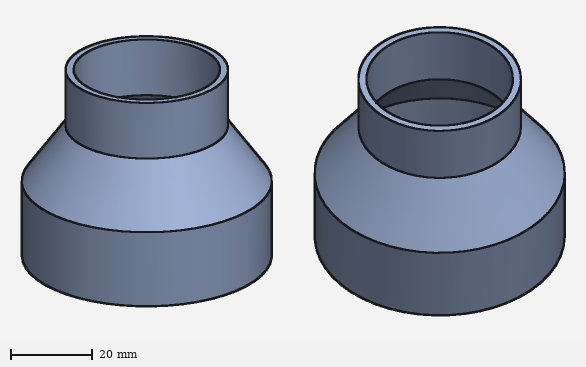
import cadquery as cq

large_outer_diameter = 61.5
large_bore_diameter = 57.5
small_outer_diameter = 40.0
small_bore_diameter = 36.0

large_collar_height = 20.0
cone_height = 15.0
small_collar_height = 15.0

cone_top = large_collar_height + cone_height
total_height = cone_top + small_collar_height


def stepped_cone(large_diameter, small_diameter):
    """Solid of two cylinders joined by a cone."""
    large_radius = large_diameter / 2
    small_radius = small_diameter / 2
    half_profile = [
        (0, 0),
        (large_radius, 0),
        (large_radius, large_collar_height),
        (small_radius, cone_top),
        (small_radius, total_height),
        (0, total_height),
    ]
    return (
        cq.Workplane("XZ")
        .polyline(half_profile)
        .close()
        .revolve(360, (0, 0, 0), (0, 1, 0))
    )


body = stepped_cone(large_outer_diameter, small_outer_diameter)
bore = stepped_cone(large_bore_diameter, small_bore_diameter)

result = body.cut(bore)